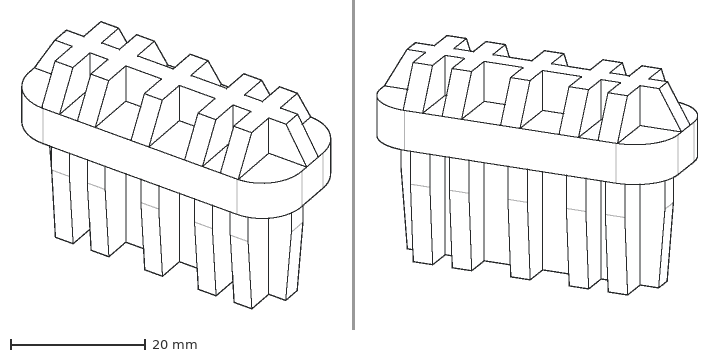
import cadquery as cq
import math

flange_length = 48.41
flange_width = 19.86
flange_height = 6.35
corner_radius = 7.0

rib_thickness = 3.175
inner_rib_offset = 9.525
outer_rib_offset = 15.875
cross_rib_positions = (-outer_rib_offset, -inner_rib_offset, 0, inner_rib_offset, outer_rib_offset)

grip_height = 6.35
grip_slope = 30
grip_inset = grip_height * math.tan(math.radians(grip_slope))

spigot_margin = 2.705
spigot_length = flange_length - 2 * spigot_margin
spigot_width = flange_width - 2 * spigot_margin
spigot_height = 19.05
spigot_straight_height = 6.35
spigot_taper = 4.6
spigot_inset = (spigot_height - spigot_straight_height) * math.tan(math.radians(spigot_taper))

flange_bottom = spigot_height
flange_top = flange_bottom + flange_height
grip_top = flange_top + grip_height
taper_start = flange_bottom - spigot_straight_height


def spigot_profile(plane, span):
    """Straight-then-tapered rib section, span wide under the flange."""
    half = span / 2
    tip = half - spigot_inset
    return cq.Workplane(plane).polyline([
        (-tip, 0),
        (tip, 0),
        (half, taper_start),
        (half, flange_bottom),
        (-half, flange_bottom),
        (-half, taper_start),
    ]).close()


def grip_profile(plane, span):
    """Rib section sloping in from the flange edge to the crest."""
    half = span / 2
    crest = half - grip_inset
    return cq.Workplane(plane).polyline([
        (-half, flange_top),
        (half, flange_top),
        (crest, grip_top),
        (-crest, grip_top),
    ]).close()


def rib_grid(profile, length, width):
    """One rib along X, crossed by the ribs along Y."""
    grid = profile("XZ", length).extrude(rib_thickness / 2, both=True)
    cross_rib = profile("YZ", width).extrude(rib_thickness / 2, both=True)
    for x in cross_rib_positions:
        grid = grid.union(cross_rib.translate((x, 0, 0)))
    return grid


def rounded_plate(height):
    """Rounded plate standing on the flange's underside."""
    return (
        cq.Workplane("XY", origin=(0, 0, flange_bottom))
        .rect(flange_length, flange_width)
        .extrude(height)
        .edges("|Z")
        .fillet(corner_radius)
    )


flange = rounded_plate(flange_height)
spigot = rib_grid(spigot_profile, spigot_length, spigot_width)

grip = rib_grid(grip_profile, flange_length, flange_width)
grip = grip.intersect(rounded_plate(flange_height + grip_height))

result = flange.union(spigot).union(grip)